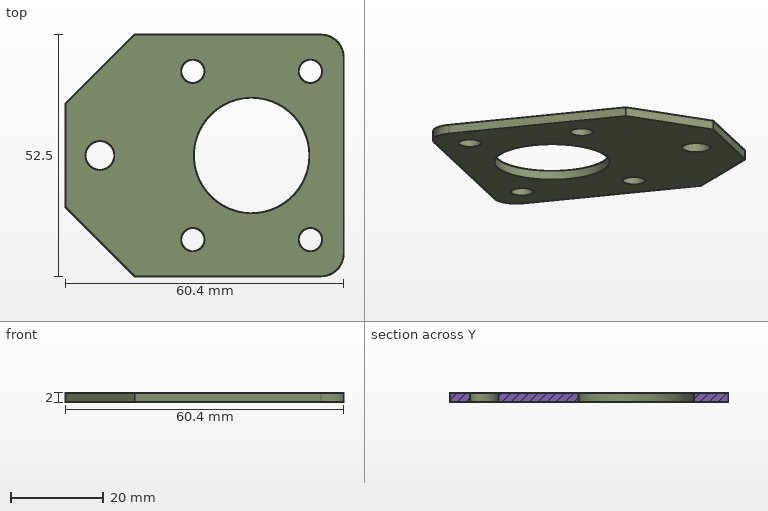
import cadquery as cq

length = 60.4
width = 52.5
thickness = 2.0
corner_chamfer = 15.0
corner_radius = 5.0

bore_diameter = 25.0
bore_to_right_edge = 20.0

mount_hole_diameter = 5.0
mount_spacing_x = 25.5
mount_spacing_y = 36.5

end_hole_diameter = 6.2
end_hole_to_left_edge = 7.5

right_edge = bore_to_right_edge
left_edge = right_edge - length
plate_center_x = (left_edge + right_edge) / 2


def make_plate():
    """Flat plate with chamfered left corners and rounded right corners."""
    plate = (
        cq.Workplane("XY")
        .center(plate_center_x, 0)
        .rect(length, width)
        .extrude(thickness)
    )
    plate = plate.faces("<X").edges("|Z").chamfer(corner_chamfer)
    return plate.faces(">X").edges("|Z").fillet(corner_radius)


def through_cutters(points, diameter):
    """Cylinders through the full plate thickness at the given points."""
    return cq.Workplane("XY").pushPoints(points).circle(diameter / 2).extrude(thickness)


mount_points = [
    (side_x * mount_spacing_x / 2, side_y * mount_spacing_y / 2)
    for side_x in (-1, 1)
    for side_y in (-1, 1)
]
end_hole_point = (left_edge + end_hole_to_left_edge, 0)

result = (
    make_plate()
    .cut(through_cutters([(0, 0)], bore_diameter))
    .cut(through_cutters(mount_points, mount_hole_diameter))
    .cut(through_cutters([end_hole_point], end_hole_diameter))
)